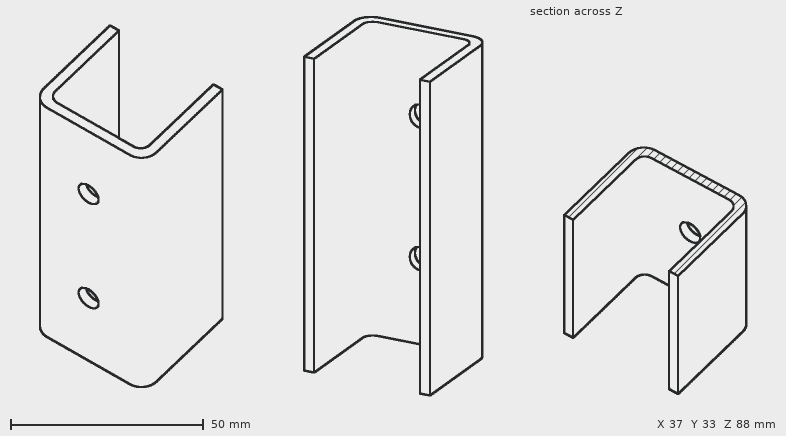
import cadquery as cq

width = 37.0
depth = 33.0
height = 88.0

wall = 3.0
outer_radius = 4.9
inner_radius = 3.0

hole_diameter = 6.5
hole_spacing = 39.95


def upright_block(block_width, front_y, back_y, corner_radius):
    """Full-height block with its two front vertical edges rounded."""
    return (
        cq.Workplane("XY")
        .box(block_width, back_y - front_y, height, centered=(True, False, True))
        .translate((0, front_y, 0))
        .edges("|Z and <Y")
        .fillet(corner_radius)
    )


def web_holes():
    """Two cylinders through the web, spaced evenly about mid-height."""
    return (
        cq.Workplane("XZ", origin=(0, wall, 0))
        .pushPoints([(0, -hole_spacing / 2), (0, hole_spacing / 2)])
        .circle(hole_diameter / 2)
        .extrude(wall)
    )


outside = upright_block(width, 0, depth, outer_radius)
inside = upright_block(width - 2 * wall, wall, depth, inner_radius)

result = outside.cut(inside).cut(web_holes())